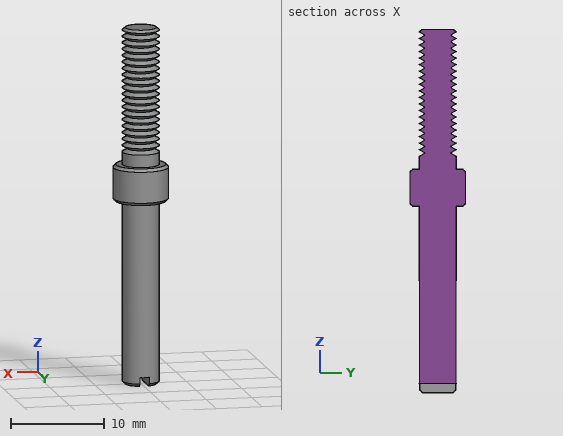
import cadquery as cq

total_length = 39.0
shank_length = 20.0
collar_height = 4.0
neck_height = 1.35
collar_top = shank_length + collar_height
neck_top = collar_top + neck_height

collar_radius = 6.0 / 2
shank_radius = collar_radius * 2 / 3
edge_chamfer = 0.3

groove_pitch = 0.7
groove_count = 19
groove_depth = 0.6
root_radius = shank_radius - groove_depth
tip_radius = 1.68

slot_width = 1.0
slot_depth = 1.0


def make_shank():
    shank = cq.Workplane("XY").circle(shank_radius).extrude(neck_top)
    return shank.faces("<Z").chamfer(edge_chamfer)


def make_collar():
    collar = cq.Workplane("XY").workplane(offset=shank_length).circle(collar_radius).extrude(collar_height)
    return collar.faces("<Z or >Z").edges().chamfer(edge_chamfer)


def make_threaded_end():
    """Revolve a grooved profile with sharp crests, sharp roots and a tapered tip."""
    profile = cq.Workplane("XZ").moveTo(0, neck_top).lineTo(shank_radius, neck_top)
    for index in range(groove_count):
        lower_crest = neck_top + index * groove_pitch
        profile = profile.lineTo(root_radius, lower_crest + groove_pitch / 2)
        profile = profile.lineTo(shank_radius, lower_crest + groove_pitch)
    profile = profile.lineTo(tip_radius, total_length).lineTo(0, total_length).close()
    return profile.revolve(360, (0, 0, 0), (0, 1, 0))


def make_slot():
    return cq.Workplane("XY").box(slot_width, 2 * collar_radius, slot_depth, centered=(True, True, False))


result = make_shank().union(make_collar()).union(make_threaded_end()).cut(make_slot())